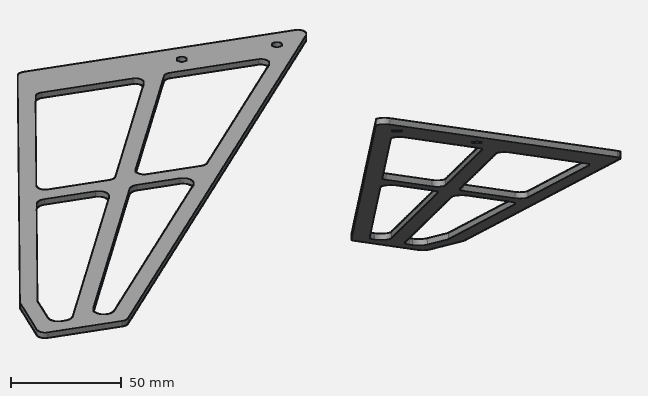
import cadquery as cq
import math

length = 230.0
thickness = 3.0
corner_radius = 4.0

top_edge_left = 199.9
top_edge_right = 41.5
bottom_edge_left = 61.0
bottom_flat_start = 200.3

root_width = 20.5
bar_width = 8.0
cross_bar_start = 105.5
diagonal_left = 129.7
diagonal_right = 18.5
root_window_radius = 4.0
tip_window_radius = 4.8

hole_diameter = 4.5
hole_x = 10.4
hole_heights = (135.5, 180.5)

top_edge = (top_edge_left, (top_edge_right - top_edge_left) / length)
bottom_edge = (bottom_edge_left, -bottom_edge_left / bottom_flat_start)
diagonal = (diagonal_left, (diagonal_right - diagonal_left) / length)


def shifted(line, distance):
    """Parallel line moved upward by a perpendicular distance."""
    height, slope = line
    return height + distance * math.hypot(1, slope), slope


def point_on(line, x):
    height, slope = line
    return x, height + slope * x


def x_at_height(line, y):
    height, slope = line
    return (y - height) / slope


def rounded_plate(points, radius, rounded_corners):
    """Plate from a polygon, rounding the vertical edges at the given corners."""
    plate = cq.Workplane("XY").polyline(points).close().extrude(thickness)
    for x, y in rounded_corners:
        corner = cq.selectors.NearestToPointSelector((x, y, thickness / 2))
        plate = plate.edges("|Z").edges(corner).fillet(radius)
    return plate


def window(lower, upper, left, right, radius):
    """Four-sided opening between two sloping lines and two vertical lines."""
    points = [point_on(lower, left), point_on(lower, right), point_on(upper, right), point_on(upper, left)]
    return rounded_plate(points, radius, points)


def lower_tip_window(lower, upper, left, right, radius):
    """Opening whose lower side turns horizontal along the tip flat."""
    floor_bend = (x_at_height(lower, bar_width), bar_width)
    corners = [point_on(lower, left), (right, bar_width), point_on(upper, right), point_on(upper, left)]
    points = [corners[0], floor_bend, *corners[1:]]
    return rounded_plate(points, radius, corners)


outer_corners = [(0, bottom_edge_left), (length, 0), (length, top_edge_right), (0, top_edge_left)]
outline = [outer_corners[0], (bottom_flat_start, 0), *outer_corners[1:]]
result = rounded_plate(outline, corner_radius, outer_corners)

window_floor = shifted(bottom_edge, bar_width)
window_ceiling = shifted(top_edge, -bar_width)
diagonal_lower = shifted(diagonal, -bar_width / 2)
diagonal_upper = shifted(diagonal, bar_width / 2)
root_bay = (root_width, cross_bar_start, root_window_radius)
tip_bay = (cross_bar_start + bar_width, length - bar_width, tip_window_radius)

result = result.cut(window(window_floor, diagonal_lower, *root_bay))
result = result.cut(window(diagonal_upper, window_ceiling, *root_bay))
result = result.cut(lower_tip_window(window_floor, diagonal_lower, *tip_bay))
result = result.cut(window(diagonal_upper, window_ceiling, *tip_bay))

hole_centers = [(hole_x, y) for y in hole_heights]
holes = cq.Workplane("XY").pushPoints(hole_centers).circle(hole_diameter / 2).extrude(thickness)
result = result.cut(holes)